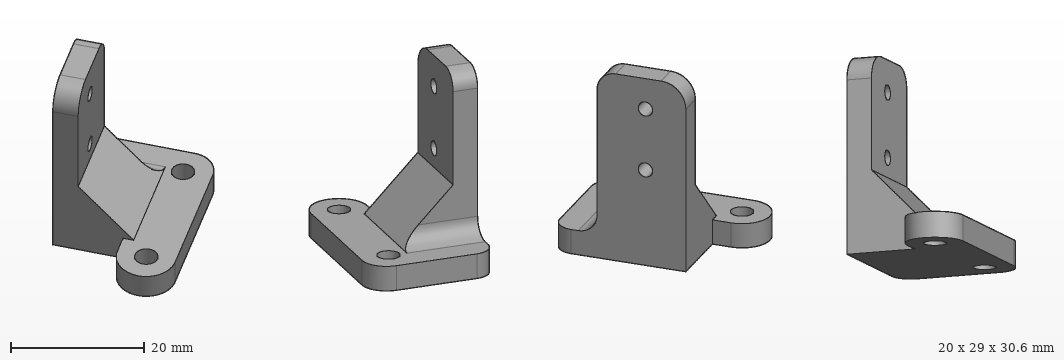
import cadquery as cq

length_x = 20.0
width_y = 29.0
height = 30.65

plate_thickness = 4.0
lug_width = 9.0
lug_radius = lug_width / 2
lug_left = length_x - lug_width
back_left_radius = 3.0
back_right_radius = 4.0
base_hole_diameter = 3.5
base_hole_spacing = 20.0

wall_thickness = 4.0
wall_front = 7.55
wall_width = 14.3
wall_back = wall_front + wall_width
wall_front_radius = 4.0
wall_back_radius = 3.0
foot_radius = 3.0
gusset_reach = 12.63
gusset_top = plate_thickness + gusset_reach - wall_thickness
wall_hole_diameter = 2.3
wall_hole_from_front = 6.5
wall_hole_from_top = 5.0
wall_hole_spacing = 10.0


def make_base():
    """Plate outline with a narrow half-round lug, rounded back corners and two holes."""
    plate = (
        cq.Workplane("XY")
        .moveTo(0, wall_front)
        .lineTo(lug_left, wall_front)
        .lineTo(lug_left, lug_radius)
        .radiusArc((lug_left + lug_radius, 0), -lug_radius)
        .radiusArc((length_x, lug_radius), -lug_radius)
        .lineTo(length_x, width_y)
        .lineTo(0, width_y)
        .close()
        .extrude(plate_thickness)
    )
    plate = plate.edges("|Z and >Y and <X").fillet(back_left_radius)
    plate = plate.edges("|Z and >Y and >X").fillet(back_right_radius)
    hole_x = length_x - lug_radius
    hole_points = [(hole_x, lug_radius), (hole_x, lug_radius + base_hole_spacing)]
    holes = (
        cq.Workplane("XY")
        .pushPoints(hole_points)
        .circle(base_hole_diameter / 2)
        .extrude(plate_thickness)
    )
    return plate.cut(holes)


def make_upright():
    """Wall and gusset side profile, trimmed to the wall outline with its concave foot."""
    side_profile = (
        cq.Workplane("XZ")
        .polyline([
            (0, 0),
            (gusset_reach, 0),
            (gusset_reach, plate_thickness),
            (wall_thickness, gusset_top),
            (wall_thickness, height),
            (0, height),
        ])
        .close()
        .extrude(-width_y)
    )
    foot_back = wall_back + foot_radius
    face_outline = (
        cq.Workplane("YZ")
        .moveTo(wall_front, 0)
        .lineTo(foot_back, 0)
        .lineTo(foot_back, plate_thickness)
        .radiusArc((wall_back, plate_thickness + foot_radius), foot_radius)
        .lineTo(wall_back, height - wall_back_radius)
        .radiusArc((wall_back - wall_back_radius, height), -wall_back_radius)
        .lineTo(wall_front + wall_front_radius, height)
        .radiusArc((wall_front, height - wall_front_radius), -wall_front_radius)
        .close()
        .extrude(length_x)
    )
    hole_y = wall_front + wall_hole_from_front
    upper_hole_z = height - wall_hole_from_top
    holes = (
        cq.Workplane("YZ")
        .pushPoints([(hole_y, upper_hole_z), (hole_y, upper_hole_z - wall_hole_spacing)])
        .circle(wall_hole_diameter / 2)
        .extrude(wall_thickness)
    )
    return side_profile.intersect(face_outline).cut(holes)


result = make_base().union(make_upright())